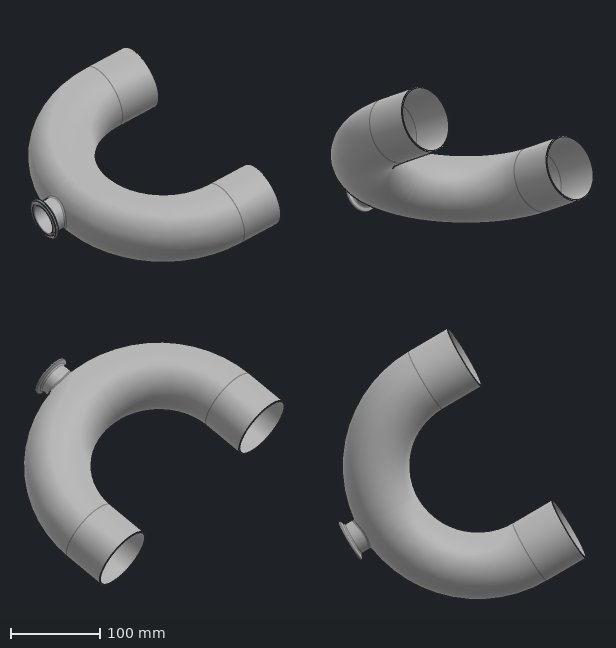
import cadquery as cq
import math

tube_diameter = 76.2
tube_bore = 72.8
bend_radius = 114.3
leg_length = 51.0

branch_diameter = 38.0
branch_bore = 34.7
overall_depth = 219.0
branch_face = overall_depth - leg_length
saddle_fillet = 1.8

flange_diameter = 50.3
rim_thickness = 2.9
rim_round = 1.07
back_slope_angle = 20
neck_fillet = 1.8

groove_diameter = 43.3
groove_width = 3.0
groove_depth = 1.37
face_edge_round = 0.5


def bent_tube(diameter):
    """Solid U of round section, with the bend centre at the origin."""
    centreline = (
        cq.Workplane("XY")
        .moveTo(-bend_radius, leg_length)
        .lineTo(-bend_radius, 0)
        .threePointArc((0, -bend_radius), (bend_radius, 0))
        .lineTo(bend_radius, leg_length)
    )
    section = cq.Workplane("XZ", origin=(-bend_radius, leg_length, 0)).circle(diameter / 2)
    return section.sweep(centreline)


def clamp_branch():
    """Solid branch with its flange: rounded rim and a back sloping to the neck."""
    neck_radius = branch_diameter / 2
    rim_radius = flange_diameter / 2
    rim_back = rim_thickness - branch_face
    slope_rise = (rim_radius - neck_radius) * math.tan(math.radians(back_slope_angle))
    neck_back = rim_back + slope_rise
    branch = (
        cq.Workplane("XY")
        .moveTo(0, -branch_face)
        .lineTo(rim_radius, -branch_face)
        .lineTo(rim_radius, rim_back)
        .lineTo(neck_radius, neck_back)
        .lineTo(neck_radius, -bend_radius)
        .lineTo(0, -bend_radius)
        .close()
        .revolve(360, (0, 0), (0, 1))
    )
    neck_edge = cq.selectors.NearestToPointSelector((0, neck_back, 0))
    rim_edges = cq.selectors.RadiusNthSelector(-1)
    branch = branch.edges(neck_edge).fillet(neck_fillet)
    return branch.edges(rim_edges).fillet(rim_round)


def branch_passage():
    """Bore of the branch, from the flange face into the tube."""
    return (
        cq.Workplane("XZ", origin=(0, -bend_radius, 0))
        .circle(branch_bore / 2)
        .extrude(branch_face - bend_radius)
    )


def gasket_groove():
    """Ring of circular-arc section cut into the flange face."""
    middle = groove_diameter / 2
    return (
        cq.Workplane("XY")
        .moveTo(middle - groove_width / 2, -branch_face)
        .threePointArc(
            (middle, groove_depth - branch_face),
            (middle + groove_width / 2, -branch_face),
        )
        .close()
        .revolve(360, (0, 0), (0, 1))
    )


outside = bent_tube(tube_diameter).union(clamp_branch())
saddle_edge = cq.selectors.NearestToPointSelector((0, -(bend_radius + tube_diameter / 2), 0))
outside = outside.edges(saddle_edge).fillet(saddle_fillet)

result = outside.cut(bent_tube(tube_bore)).cut(branch_passage()).cut(gasket_groove())

face_edges = cq.selectors.SubtractSelector(
    cq.selectors.TypeSelector("CIRCLE"), cq.selectors.RadiusNthSelector(-1)
)
result = result.faces("<Y").edges(face_edges).fillet(face_edge_round)